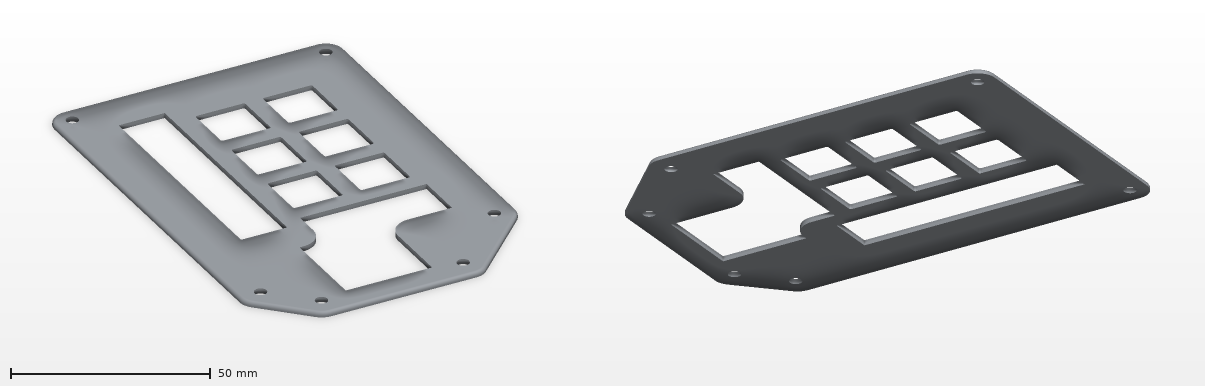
import cadquery as cq

LENGTH = 120.0
WIDTH = 82.0
THICKNESS = 1.5
BACK_CORNER_CUT = 21.8
FRONT_CORNER_CUT = 14.8
CORNER_RADIUS = 5.0
EDGE_RADIUS = 1.0

HOLE_DIAMETER = 3.4
HOLE_X = LENGTH / 2 - CORNER_RADIUS
HOLE_Y = WIDTH / 2 - CORNER_RADIUS
HOLE_CENTERS = [
    (-HOLE_X, HOLE_Y),
    (-HOLE_X, -HOLE_Y),
    (36.0, 35.0),
    (54.0, 16.5),
    (54.0, -23.6),
    (43.1, -35.0),
]

KEY_COLUMNS = 3
KEY_ROWS = 2
KEY_PITCH = 19.1
KEY_SIZE = 14.0
KEY_CORNER_RADIUS = 0.5
KEY_GRID_CENTER = (-16.0, 8.5)

SLOT_LENGTH = 64.9
SLOT_WIDTH = 13.1
SLOT_CENTER = (-14.6, -20.5)

TALL_LEFT = 15.1
TALL_RIGHT = 28.5
TALL_TOP = 27.0
TALL_BOTTOM = -8.9
WIDE_LEFT = 28.1
WIDE_RIGHT = 52.5
WIDE_TOP = 8.5
WIDE_BOTTOM = -16.0
STEP_RADIUS = 6.0


def make_plate():
    right, back = LENGTH / 2, WIDTH / 2
    outline = [
        (-right, -back),
        (right - FRONT_CORNER_CUT, -back),
        (right, -back + FRONT_CORNER_CUT),
        (right, back - BACK_CORNER_CUT),
        (right - BACK_CORNER_CUT, back),
        (-right, back),
    ]
    plate = cq.Workplane("XY").polyline(outline).close().extrude(THICKNESS)
    plate = plate.edges("|Z").fillet(CORNER_RADIUS)
    return plate.faces(">Z").edges().fillet(EDGE_RADIUS)


def make_screw_holes():
    return (
        cq.Workplane("XY")
        .pushPoints(HOLE_CENTERS)
        .circle(HOLE_DIAMETER / 2)
        .extrude(THICKNESS)
    )


def make_key_openings():
    return (
        cq.Workplane("XY")
        .center(*KEY_GRID_CENTER)
        .rarray(KEY_PITCH, KEY_PITCH, KEY_COLUMNS, KEY_ROWS)
        .rect(KEY_SIZE, KEY_SIZE)
        .extrude(THICKNESS)
        .edges("|Z")
        .fillet(KEY_CORNER_RADIUS)
    )


def make_slot():
    return (
        cq.Workplane("XY")
        .center(*SLOT_CENTER)
        .rect(SLOT_LENGTH, SLOT_WIDTH)
        .extrude(THICKNESS)
    )


def make_stepped_window():
    return (
        cq.Workplane("XY")
        .moveTo(TALL_LEFT, TALL_TOP)
        .lineTo(TALL_RIGHT, TALL_TOP)
        .lineTo(TALL_RIGHT, WIDE_TOP + STEP_RADIUS)
        .radiusArc((TALL_RIGHT + STEP_RADIUS, WIDE_TOP), -STEP_RADIUS)
        .lineTo(WIDE_RIGHT, WIDE_TOP)
        .lineTo(WIDE_RIGHT, WIDE_BOTTOM)
        .lineTo(WIDE_LEFT, WIDE_BOTTOM)
        .lineTo(WIDE_LEFT, TALL_BOTTOM - STEP_RADIUS)
        .radiusArc((WIDE_LEFT - STEP_RADIUS, TALL_BOTTOM), -STEP_RADIUS)
        .lineTo(TALL_LEFT, TALL_BOTTOM)
        .close()
        .extrude(THICKNESS)
    )


result = (
    make_plate()
    .cut(make_screw_holes())
    .cut(make_key_openings())
    .cut(make_slot())
    .cut(make_stepped_window())
)